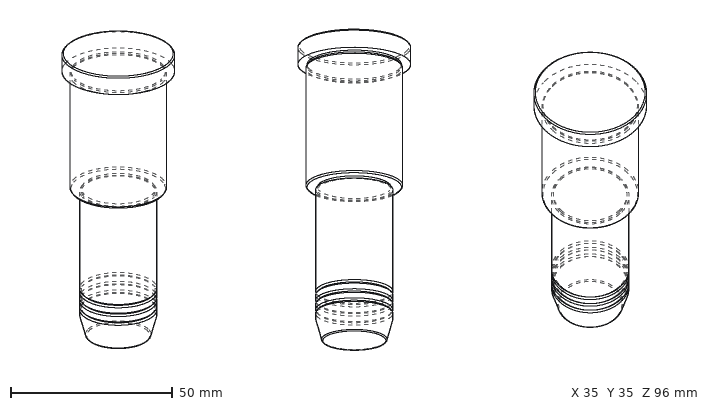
import cadquery as cq

length = 96.0
head_radius = 35.0 / 2
body_radius = 30.0 / 2
pin_radius = 24.0 / 2

head_height = 6.0
head_bottom = length - head_height
body_bottom = 50.0
taper_top = 7.0

head_chamfer = 0.5
body_chamfer_depth = 0.4
body_chamfer_height = 0.6
head_relief_height = 0.6
pin_relief_depth = 0.6
pin_relief_height = 0.9

tip_radius = 10.2
tip_chamfer = 0.4

groove_count = 3
groove_pitch = 3.0
first_groove_height = 9.5
groove_width = 1.2
groove_depth = 0.6


def turned_blank():
    """Revolve the stepped half profile about Z."""
    body_end_radius = body_radius - body_chamfer_depth
    neck_radius = pin_radius - pin_relief_depth
    neck_bottom = body_bottom - pin_relief_height
    body_top = head_bottom - head_relief_height
    profile = [
        (0, 0),
        (tip_radius - tip_chamfer, 0),
        (tip_radius, tip_chamfer),
        (pin_radius, taper_top),
        (pin_radius, neck_bottom),
        (neck_radius, neck_bottom),
        (neck_radius, body_bottom),
        (body_end_radius, body_bottom),
        (body_radius, body_bottom + body_chamfer_height),
        (body_radius, body_top - body_chamfer_height),
        (body_end_radius, body_top),
        (body_end_radius, head_bottom),
        (head_radius, head_bottom),
        (head_radius, length - head_chamfer),
        (head_radius - head_chamfer, length),
        (0, length),
    ]
    return cq.Workplane("XZ").polyline(profile).close().revolve(360, (0, 0), (0, 1))


def groove_cutter(height):
    """Ring that cuts a V groove centred at the given height."""
    overrun = 2.0
    outer_radius = pin_radius - groove_depth + groove_depth * overrun
    half_width = groove_width / 2 * overrun
    section = [
        (pin_radius - groove_depth, height),
        (outer_radius, height + half_width),
        (outer_radius, height - half_width),
    ]
    return cq.Workplane("XZ").polyline(section).close().revolve(360, (0, 0), (0, 1))


result = turned_blank()
for index in range(groove_count):
    result = result.cut(groove_cutter(first_groove_height + index * groove_pitch))